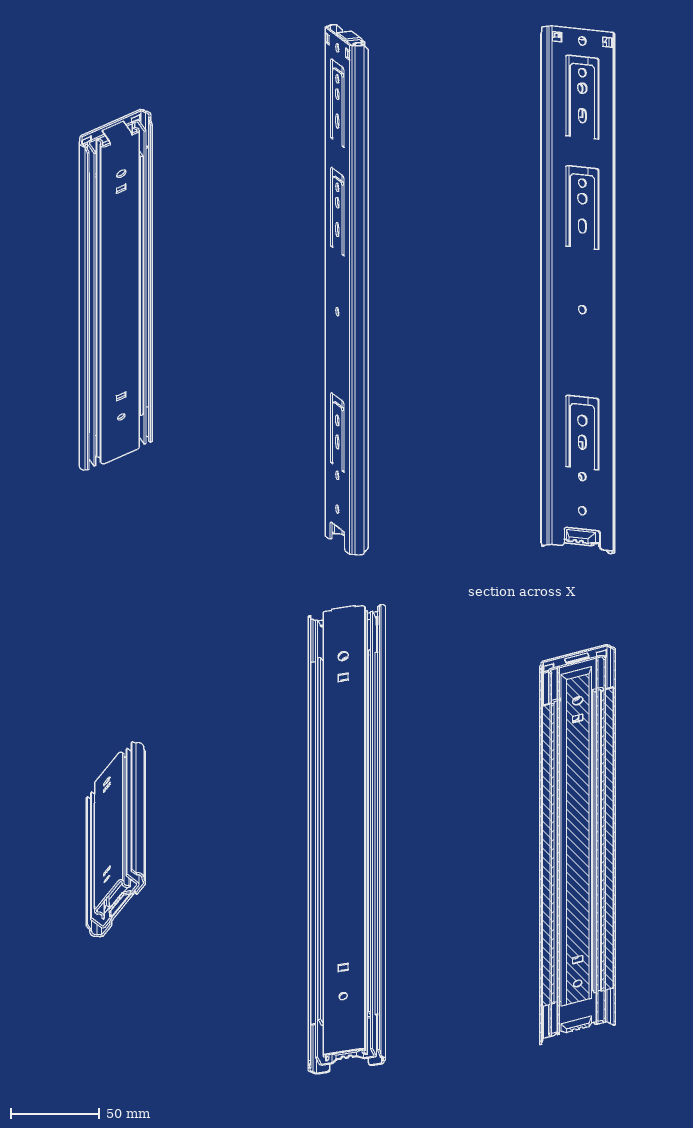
import cadquery as cq
import math


length = 300.0
sheet = 1.2
total_depth = 12.5
total_width = 45.5
past = 3.0

outer_corner_y = 19.2
outer_corner_rise = 1.5
bead_radius = 3.3
bead_x = 5.5
bead_y = total_width / 2 - bead_radius
bead_angle = math.radians(30)
lip_tip_x = 10.8
lip_tip_y = 21.0
lip_chamfer = 3.0

notch_width = 22.8
notch_depth = 10.8
notch_round = 1.8
window_inner_y = 13.0
window_outer_y = 19.0
window_bottom = 291.3
window_top = 296.7
tongue_slot_width = 21.0
tongue_width = 15.0
tongue_gap = 4.5
tongue_chamfer = 1.5
tongue_slot_round = 1.5
small_hole = 4.8
large_hole = 6.0
oblong_length = 8.0
tongues = [
    (284.0, 46.8, 9.3, 18.3, 34.2),
    (220.2, 46.8, 9.3, 18.3, 34.2),
    (87.3, 41.5, None, 13.8, 26.5),
]
through_hole_z = 41.0
web_hole_heights = [293.0, 137.7, through_hole_z, 21.3]

middle_x = 1.8
middle_inner_x = middle_x + sheet
middle_half_width = 16.8
middle_inner_y = middle_half_width - sheet
middle_tip_x = 11.0
middle_bottom = 4.2
middle_top = 294.3
middle_round = 1.8
trough_depth = 3.3
trough_width = 18.5
trough_bottom = 24.0
trough_top = 288.5
end_recess_top = 10.0
trough_angle = 45.0
trough_round = 2.7
edge_notch = 2.5
edge_notch_y = 2.0

access_hole_z = 266.7
access_width = 6.0
upper_access = (250.2, 255.0)
lower_access = (58.0, 62.5)

inner_half_width = 12.3
inner_edge_x = 5.5
inner_bottom = 4.5
inner_top = 298.2
inner_round = 1.8
inner_groove_x = 8.0
inner_groove_radius = 1.8
inner_groove_depth = 1.2
tab_width = 13.8
tab_edge_x = 2.7
tab_bend = 2.0
tab_root = inner_top - 2 * tab_bend

cage_bottom = 30.0
cage_top = 270.0
outer_cage_x = 4.8
outer_cage_thickness = 1.2
outer_cage_top_y = 21.3
inner_cage_thickness = 1.5
inner_cage_tip_x = 9.5
inner_cage_foot_y = 10.0
inner_cage_foot_x = 5.0


def box(x0, x1, y0, y1, z0, z1):
    """A block given by its two ends along each axis."""
    return cq.Workplane("XY").box(x1 - x0, y1 - y0, z1 - z0, centered=False).translate((x0, y0, z0))


def mirrored(half):
    """Join a shape on the +Y side with its mirror image."""
    return half.union(half.mirror("XZ"))


def arc_point(radius, angle):
    """A point on the ball track's arc of the given radius."""
    return (bead_x + radius * math.cos(angle), bead_y + radius * math.sin(angle))


def cross_hole(diameter, z):
    """A cutter along X through the whole slide on its centre line."""
    return (
        cq.Workplane("YZ", origin=(-past, 0, 0))
        .center(0, z)
        .circle(diameter / 2)
        .extrude(total_depth + 2 * past)
    )


def outer_section():
    """Half of the section, from the web to the tip of the rolled lip."""
    inside_radius = bead_radius - sheet
    return (
        cq.Workplane("XY")
        .moveTo(0, 0)
        .lineTo(0, outer_corner_y)
        .lineTo(sheet, outer_corner_y + outer_corner_rise)
        .lineTo(*arc_point(bead_radius, math.pi - bead_angle))
        .threePointArc(arc_point(bead_radius, math.pi / 2), arc_point(bead_radius, bead_angle))
        .lineTo(lip_tip_x, lip_tip_y)
        .lineTo(lip_tip_x, lip_tip_y - sheet)
        .lineTo(*arc_point(inside_radius, bead_angle))
        .threePointArc(arc_point(inside_radius, math.pi / 2), arc_point(inside_radius, math.pi - bead_angle))
        .lineTo(sheet, outer_corner_y)
        .lineTo(sheet, 0)
        .close()
        .extrude(length)
    )


def lip_corner(z, inward):
    """Cutter for the chamfered lip corner at one end; inward points into the rail along Z."""
    return (
        cq.Workplane("XZ")
        .polyline([
            (lip_tip_x - lip_chamfer, z),
            (lip_tip_x, z + inward * lip_chamfer),
            (lip_tip_x, z),
        ])
        .close()
        .extrude(total_width / 2 + past, both=True)
    )


def end_notch():
    """Cutter for the notch in the lower end of the web, with rounded upper corners."""
    return (
        box(-past, sheet + past, -notch_width / 2, notch_width / 2, -past, notch_depth)
        .edges("|X and >Z")
        .fillet(notch_round)
    )


def tongue_slot(top, height):
    """U-shaped cutter that frees a tongue on both sides and at its upper end."""
    bottom = top - height
    frame = box(-past, sheet + past, -tongue_slot_width / 2, tongue_slot_width / 2, bottom, top)
    frame = frame.edges("|X and >Z").fillet(tongue_slot_round)
    tongue = box(-past, sheet + past, -tongue_width / 2, tongue_width / 2, bottom, top - tongue_gap)
    tongue = tongue.edges("|X and >Z").chamfer(tongue_chamfer)
    return frame.cut(tongue)


def web_hole(diameter, z):
    """Cutter for a round hole in the outer web only."""
    return cq.Workplane("YZ").center(0, z).circle(diameter / 2).extrude(sheet)


def oblong_hole(z):
    """Cutter for an upright oblong hole in the outer web."""
    return cq.Workplane("YZ").center(0, z).slot2D(oblong_length, small_hole, 90).extrude(sheet)


def make_outer_rail():
    rail = mirrored(outer_section())
    rail = rail.cut(lip_corner(0, 1)).cut(lip_corner(length, -1))
    rail = rail.cut(end_notch())
    notch_mouth = cq.selectors.BoxSelector(
        (0, -notch_width / 2 - sheet, 0), (sheet, notch_width / 2 + sheet, notch_depth)
    )
    rail = rail.edges("|X and <Z").edges(notch_mouth).fillet(notch_round)
    window = box(-past, sheet + past, window_inner_y, window_outer_y, window_bottom, window_top)
    rail = rail.cut(mirrored(window))
    for z in web_hole_heights:
        rail = rail.cut(web_hole(small_hole, z))
    for top, height, small_drop, large_drop, oblong_drop in tongues:
        rail = rail.cut(tongue_slot(top, height))
        if small_drop is not None:
            rail = rail.cut(web_hole(small_hole, top - small_drop))
        rail = rail.cut(web_hole(large_hole, top - large_drop))
        rail = rail.cut(oblong_hole(top - oblong_drop))
    return rail


def trough(x, z0, z1):
    """Tapered plug that grows narrower along +X from its mouth at x."""
    return (
        cq.Workplane("YZ", origin=(x, 0, 0))
        .center(0, (z0 + z1) / 2)
        .rect(trough_width, z1 - z0)
        .extrude(trough_depth, taper=trough_angle)
    )


def access_openings():
    """Cutters shared by the middle and inner rails."""
    cutters = cross_hole(access_width, access_hole_z).union(cross_hole(small_hole, through_hole_z))
    for z0, z1 in (upper_access, lower_access):
        cutters = cutters.union(
            box(-past, total_depth + past, -access_width / 2, access_width / 2, z0, z1)
        )
    return cutters


def make_middle_rail():
    outside = box(
        middle_x, middle_tip_x, -middle_half_width, middle_half_width, middle_bottom, middle_top
    )
    outside = outside.edges("|Z and <X").fillet(middle_round)
    inside = box(
        middle_inner_x, middle_tip_x, -middle_inner_y, middle_inner_y, middle_bottom, middle_top
    )
    inside = inside.edges("|Z and <X").fillet(middle_round - sheet)
    rail = outside.cut(inside)
    lower_end = middle_bottom - past - trough_depth
    for z0, z1 in ((trough_bottom, trough_top), (lower_end, end_recess_top)):
        rail = rail.union(trough(middle_inner_x, z0, z1))
        rail = rail.cut(trough(middle_x, z0, z1))
    mouth_edges = cq.selectors.BoxSelector(
        (middle_x - sheet / 2, -trough_width / 2 - sheet, trough_bottom - sheet),
        (middle_x + sheet / 2, trough_width / 2 + sheet, trough_top + sheet),
    )
    rail = rail.edges(mouth_edges).fillet(trough_round)
    rail = rail.cut(box(
        0, total_depth, -middle_half_width, middle_half_width, lower_end - past, middle_bottom
    ))
    for y in (-edge_notch_y, edge_notch_y):
        notch = cq.Workplane("YZ").center(y, middle_bottom).circle(edge_notch / 2).extrude(total_depth)
        rail = rail.cut(notch)
    return rail.cut(access_openings())


def groove_arc(radius):
    """Cylinder along the +Y flange of the inner rail, for its pressed ball track."""
    center_y = inner_half_width + inner_groove_radius - inner_groove_depth
    return (
        cq.Workplane("XY", origin=(inner_groove_x, center_y, inner_bottom))
        .circle(radius)
        .extrude(inner_top - inner_bottom)
    )


def bent_tab():
    """Upper end of the web, bent over towards the outer rail."""
    bend_center = (total_depth - tab_bend, length - tab_bend)
    diagonal = math.sqrt(0.5)
    inside_bend = tab_bend - sheet
    return (
        cq.Workplane("XZ")
        .moveTo(total_depth, tab_root)
        .lineTo(total_depth, bend_center[1])
        .threePointArc(
            (bend_center[0] + tab_bend * diagonal, bend_center[1] + tab_bend * diagonal),
            (bend_center[0], length),
        )
        .lineTo(tab_edge_x, length)
        .lineTo(tab_edge_x, length - sheet)
        .lineTo(bend_center[0], length - sheet)
        .threePointArc(
            (bend_center[0] + inside_bend * diagonal, bend_center[1] + inside_bend * diagonal),
            (total_depth - sheet, bend_center[1]),
        )
        .lineTo(total_depth - sheet, tab_root)
        .close()
        .extrude(tab_width / 2, both=True)
    )


def make_inner_rail():
    inner_y = inner_half_width - sheet
    outside = box(
        inner_edge_x, total_depth, -inner_half_width, inner_half_width, inner_bottom, inner_top
    )
    outside = outside.edges("|Z and >X").fillet(inner_round)
    inside = box(inner_edge_x, total_depth - sheet, -inner_y, inner_y, inner_bottom, inner_top)
    inside = inside.edges("|Z and >X").fillet(inner_round - sheet)
    tab_space = box(
        inner_edge_x, total_depth, -tab_width / 2, tab_width / 2, tab_root, inner_top
    )
    rail = outside.cut(inside).cut(tab_space).union(bent_tab())
    track = groove_arc(inner_groove_radius + sheet).intersect(
        box(0, total_depth, 0, inner_half_width, inner_bottom, inner_top)
    )
    rail = rail.union(mirrored(track)).cut(mirrored(groove_arc(inner_groove_radius)))
    return rail.cut(access_openings())


def make_outer_cage(side):
    """Flat strip between the outer rail's track and the middle rail; side is +1 or -1 along Y."""
    cage = box(
        outer_cage_x, outer_cage_x + outer_cage_thickness, middle_half_width, outer_cage_top_y,
        cage_bottom, cage_top,
    )
    return cage if side > 0 else cage.mirror("XZ")


def make_inner_cage(side):
    """C-shaped strip lining one corner of the middle rail; side is +1 or -1 along Y."""
    back_x = middle_inner_x + inner_cage_thickness
    flange_y = middle_inner_y - inner_cage_thickness
    back = box(middle_inner_x, back_x, inner_cage_foot_y, middle_inner_y, cage_bottom, cage_top)
    back = back.edges("|Z and <X and >Y").fillet(middle_round - sheet)
    flange = box(back_x, inner_cage_tip_x, flange_y, middle_inner_y, cage_bottom, cage_top)
    foot = box(
        back_x, inner_cage_foot_x, inner_cage_foot_y, inner_cage_foot_y + inner_cage_thickness,
        cage_bottom, cage_top,
    )
    cage = back.union(flange).union(foot)
    return cage if side > 0 else cage.mirror("XZ")


outer_rail = make_outer_rail()
middle_rail = make_middle_rail()
inner_rail = make_inner_rail()
cages = []
for side in (1, -1):
    cages.append(make_outer_cage(side).val())
    cages.append(make_inner_cage(side).val())

result = cq.Compound.makeCompound([outer_rail.val(), middle_rail.val(), inner_rail.val(), *cages])